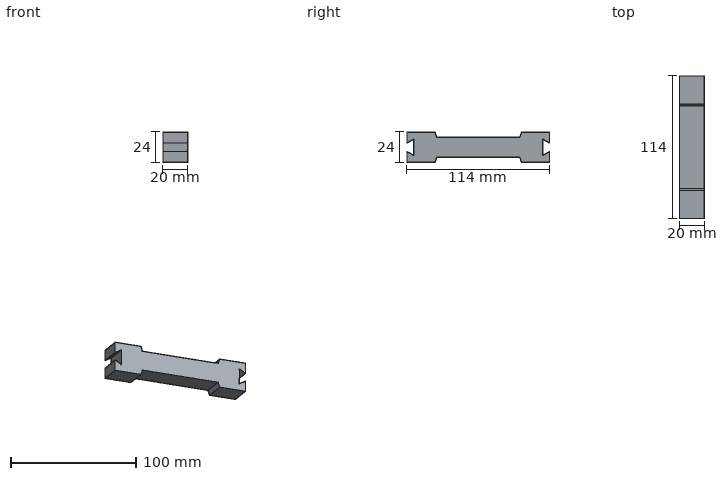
import cadquery as cq

length = 114.0
width = 20.0
height = 24.0

waist_height = 16.2
block_length = 22.6
shoulder_run = 1.4

slot_depth = 5.5
slot_mouth = 6.5
slot_floor = 12.7


def waist_relief(side):
    """Trapezoidal relief above (side=1) or below (side=-1) the waist."""
    outer_y = length / 2 - block_length
    inner_y = outer_y - shoulder_run
    outer_z = side * height / 2
    inner_z = side * waist_height / 2
    profile = [(-outer_y, outer_z), (-inner_y, inner_z), (inner_y, inner_z), (outer_y, outer_z)]
    return cq.Workplane("YZ").polyline(profile).close().extrude(width / 2, both=True)


def dovetail_slot(end):
    """Slot along X that widens inward from the +Y (end=1) or -Y (end=-1) face."""
    mouth_y = end * length / 2
    floor_y = end * (length / 2 - slot_depth)
    profile = [
        (mouth_y, -slot_mouth / 2),
        (floor_y, -slot_floor / 2),
        (floor_y, slot_floor / 2),
        (mouth_y, slot_mouth / 2),
    ]
    return cq.Workplane("YZ").polyline(profile).close().extrude(width / 2, both=True)


result = cq.Workplane("XY").box(width, length, height)
for direction in (1, -1):
    result = result.cut(waist_relief(direction))
    result = result.cut(dovetail_slot(direction))